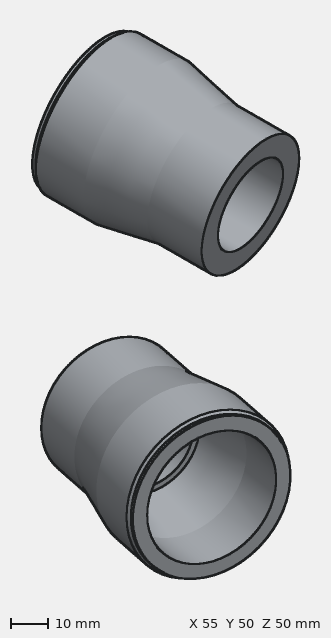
import cadquery as cq

total_length = 55.0
lip_length = 1.1
chamfer_end = 1.9
taper_start = 18.2
taper_end = total_length - taper_start
large_bore_depth = 16.0
shoulder_depth = 35.0

large_radius = 50.0 / 2
lip_radius = 48.3 / 2
small_radius = 42.5 / 2
large_bore_radius = 39.5 / 2
taper_bore_radius = 32.0 / 2
small_bore_radius = 28.3 / 2

outer_profile = (
    cq.Workplane("XY")
    .lineTo(0, lip_radius)
    .lineTo(lip_length, lip_radius)
    .lineTo(chamfer_end, large_radius)
    .lineTo(taper_start, large_radius)
    .lineTo(taper_end, small_radius)
    .lineTo(total_length, small_radius)
    .lineTo(total_length, 0)
    .close()
)

bore_profile = (
    cq.Workplane("XY")
    .lineTo(0, large_bore_radius)
    .lineTo(large_bore_depth, large_bore_radius)
    .lineTo(shoulder_depth, taper_bore_radius)
    .lineTo(shoulder_depth, small_bore_radius)
    .lineTo(total_length, small_bore_radius)
    .lineTo(total_length, 0)
    .close()
)


def revolve_about_x(profile):
    return profile.revolve(360, (0, 0, 0), (1, 0, 0))


result = revolve_about_x(outer_profile).cut(revolve_about_x(bore_profile))